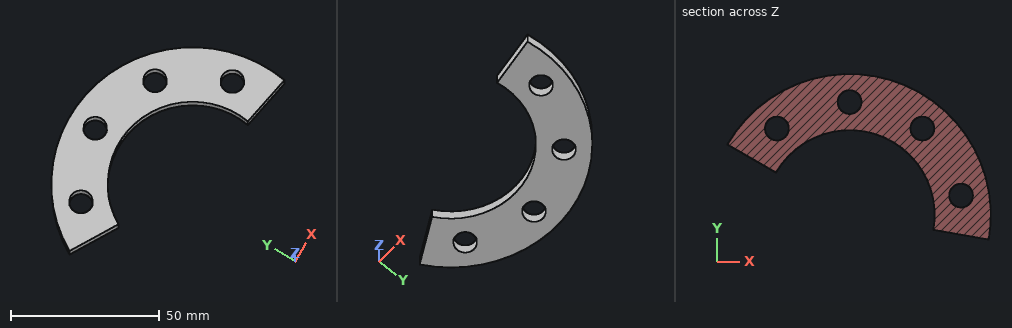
import cadquery as cq
import math

overall_length = 88.9
thickness = 5.0
inner_radius = 28.6
hole_diameter = 7.9

start_angle = -10.0
end_angle = 150.0
hole_count = 4
hole_pitch = (end_angle - start_angle) / hole_count

outer_radius = overall_length / (1 - math.cos(math.radians(end_angle)))
hole_circle_radius = (inner_radius + outer_radius) / 2


def polar(radius, angle):
    """Point at a radius and an angle from the ring centre."""
    return (
        radius * math.cos(math.radians(angle)),
        radius * math.sin(math.radians(angle)),
    )


middle_angle = (start_angle + end_angle) / 2
segment = (
    cq.Workplane("XY")
    .moveTo(*polar(outer_radius, start_angle))
    .threePointArc(polar(outer_radius, middle_angle), polar(outer_radius, end_angle))
    .lineTo(*polar(inner_radius, end_angle))
    .threePointArc(polar(inner_radius, middle_angle), polar(inner_radius, start_angle))
    .close()
    .extrude(thickness)
)

hole_centres = [
    polar(hole_circle_radius, start_angle + (index + 0.5) * hole_pitch)
    for index in range(hole_count)
]
holes = (
    cq.Workplane("XY")
    .pushPoints(hole_centres)
    .circle(hole_diameter / 2)
    .extrude(thickness)
)

result = segment.cut(holes)